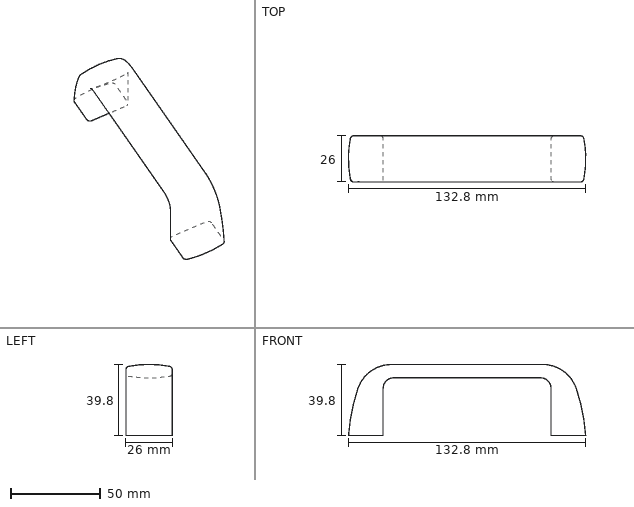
import cadquery as cq
import math

length = 132.8
width = 26.0
height = 39.8
leg_inner_x = 46.9
bar_underside = 32.1
inner_corner_radius = 5.8
top_flat_half = 42.2
corner_radius = 19.9
corner_sweep = math.radians(71)
crown_radius = 59.8
underside_radius = 70.4
outer_edge_round = 2.1
inner_edge_round = 2.1
side_overrun = 1.3
stock = 4.0
leg_overrun = 0.33
trim_depth = 26.5

half_length = length / 2
corner_z = height - corner_radius
corner_end_x = top_flat_half + corner_radius * math.sin(corner_sweep)
corner_end_z = corner_z + corner_radius * math.cos(corner_sweep)
chord_x = half_length - corner_end_x
chord_angle = math.atan2(chord_x, corner_end_z)
leg_start_angle = math.pi / 2 - corner_sweep
leg_turn = 2 * (leg_start_angle - chord_angle)
leg_radius = math.hypot(chord_x, corner_end_z) / (2 * math.sin(leg_turn / 2))


def leg_point(angle):
    """Point on the right leg arc, at an angle from vertical of its tangent."""
    x = corner_end_x + leg_radius * (math.cos(angle) - math.cos(leg_start_angle))
    z = corner_end_z + leg_radius * (math.sin(angle) - math.sin(leg_start_angle))
    return x, z


def corner_point(angle):
    """Point on the right corner arc, at an angle from the top."""
    x = top_flat_half + corner_radius * math.sin(angle)
    return x, corner_z + corner_radius * math.cos(angle)


def crown_cutter_section(crest_z, radius, end_z):
    """Crosswise section between a crown arc, crest at mid-width, and a flat line.

    A positive radius makes the arc bulge up, a negative one down.
    """
    edge_y = width / 2 + side_overrun
    sag = abs(radius) - math.sqrt(radius**2 - edge_y**2)
    edge_z = crest_z - math.copysign(sag, radius)
    return (
        cq.Workplane("YZ")
        .moveTo(-edge_y, edge_z)
        .threePointArc((0, crest_z), (edge_y, edge_z))
        .lineTo(edge_y, end_z)
        .lineTo(-edge_y, end_z)
        .close()
    )


def make_blank():
    """Oversized block with the gap between the legs cut out."""
    outer_x = half_length + stock
    blank = cq.Workplane("XY").box(
        2 * outer_x, width, height + stock, centered=(True, True, False)
    )
    gap = (
        crown_cutter_section(bar_underside, -underside_radius, 0)
        .extrude(leg_inner_x, both=True)
        .faces("<X or >X")
        .edges(">Z")
        .fillet(inner_corner_radius)
    )
    return blank.cut(gap)


def make_crown_trims():
    """Trims outside the crown, swept along the right half and mirrored to the left."""
    foot_angle = leg_start_angle - leg_turn
    below_angle = foot_angle - leg_turn * leg_overrun
    below = leg_point(below_angle)
    leg_middle = leg_point((below_angle + leg_start_angle) / 2)
    path = (
        cq.Workplane("XZ")
        .moveTo(0, height)
        .lineTo(top_flat_half, height)
        .threePointArc(corner_point(corner_sweep / 2), (corner_end_x, corner_end_z))
        .threePointArc(leg_middle, below)
    )
    section = crown_cutter_section(height, crown_radius, height + trim_depth)
    right = section.sweep(path)
    return right, right.mirror("YZ")


def side_edges(solid, outer):
    """Pick the long side edges on the outer line or along the gap."""
    reach_x = leg_inner_x + side_overrun
    reach_z = bar_underside + inner_corner_radius / 2
    gap_box = cq.selectors.BoxSelector(
        (-reach_x, -width, -side_overrun), (reach_x, width, reach_z), boundingbox=True
    )
    edges = solid.faces("<Y or >Y").edges("not <Z")
    return edges.edges(-gap_box if outer else gap_box)


body = make_blank()
for trim in make_crown_trims():
    body = body.cut(trim)
body = side_edges(body, outer=False).fillet(inner_edge_round)
body = side_edges(body, outer=True).fillet(outer_edge_round)
result = body